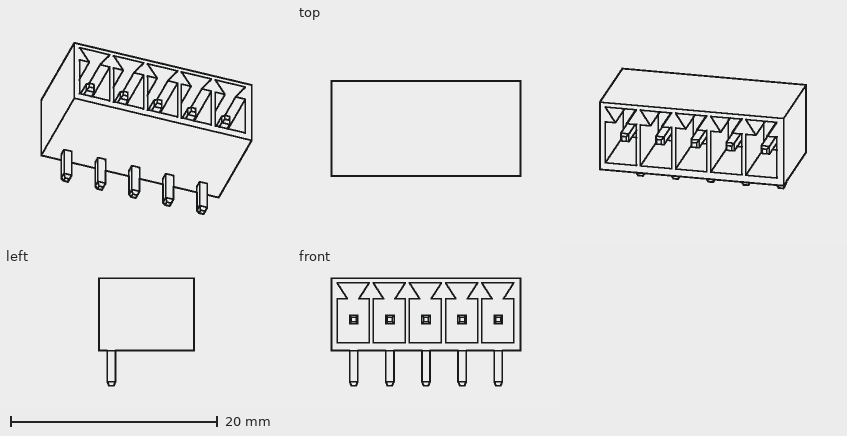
import cadquery as cq

HOUSING_WIDTH = 18.3
HOUSING_DEPTH = 9.2
HOUSING_HEIGHT = 6.99

CONTACT_COUNT = 5
PITCH = 3.5
FIRST_CONTACT_X = (HOUSING_WIDTH - (CONTACT_COUNT - 1) * PITCH) / 2
CONTACT_XS = [FIRST_CONTACT_X + i * PITCH for i in range(CONTACT_COUNT)]

CAVITY_WIDTH = 3.1
CAVITY_SHIFT = -0.05
CAVITY_FLOOR_Z = 0.75
SHOULDER_Z = HOUSING_HEIGHT - 2.0
CAVITY_TOP_Z = HOUSING_HEIGHT - 0.45
KEYWAY_NECK_WIDTH = 1.1
BACK_WALL = 2.0
CAVITY_DEPTH = HOUSING_DEPTH - BACK_WALL

PIN_SIZE = 0.8
TIP_SIZE = 0.48
TIP_LENGTH = 0.4
BLADE_Z = 3.0
BLADE_RECESS = 1.0
LEG_Y = HOUSING_DEPTH - 1.2
LEG_LENGTH = 3.4


def cavity(contact_x):
    """Cavity cut back from the front face, centred slightly to the left of its contact."""
    half_width = CAVITY_WIDTH / 2
    half_neck = KEYWAY_NECK_WIDTH / 2
    right_side = [
        (half_width, CAVITY_FLOOR_Z),
        (half_width, SHOULDER_Z),
        (half_neck, SHOULDER_Z),
        (half_width, CAVITY_TOP_Z),
    ]
    left_side = [(-x, z) for x, z in reversed(right_side)]
    return (
        cq.Workplane("XZ", origin=(contact_x + CAVITY_SHIFT, 0, 0))
        .polyline(right_side + left_side)
        .close()
        .extrude(-CAVITY_DEPTH)
    )


def tapered_pin(tip_center, direction, length):
    """Square pin whose tip is at tip_center and whose body runs along direction."""
    tip_plane = cq.Plane(origin=tip_center, xDir=(1, 0, 0), normal=direction)
    tip = (
        cq.Workplane(tip_plane)
        .rect(TIP_SIZE, TIP_SIZE)
        .workplane(offset=TIP_LENGTH)
        .rect(PIN_SIZE, PIN_SIZE)
        .loft(ruled=True)
    )
    shank = (
        cq.Workplane(tip_plane)
        .workplane(offset=TIP_LENGTH)
        .rect(PIN_SIZE, PIN_SIZE)
        .extrude(length - TIP_LENGTH)
    )
    return tip.union(shank)


def contact(contact_x):
    """Right-angle contact: the blade and the leg meet inside the back wall."""
    blade = tapered_pin((contact_x, BLADE_RECESS, BLADE_Z), (0, 1, 0), LEG_Y - BLADE_RECESS)
    leg = tapered_pin((contact_x, LEG_Y, -LEG_LENGTH), (0, 0, 1), LEG_LENGTH + BLADE_Z)
    return blade.union(leg)


result = cq.Workplane("XY").box(HOUSING_WIDTH, HOUSING_DEPTH, HOUSING_HEIGHT, centered=False)
for contact_x in CONTACT_XS:
    result = result.cut(cavity(contact_x))
    result = result.union(contact(contact_x))